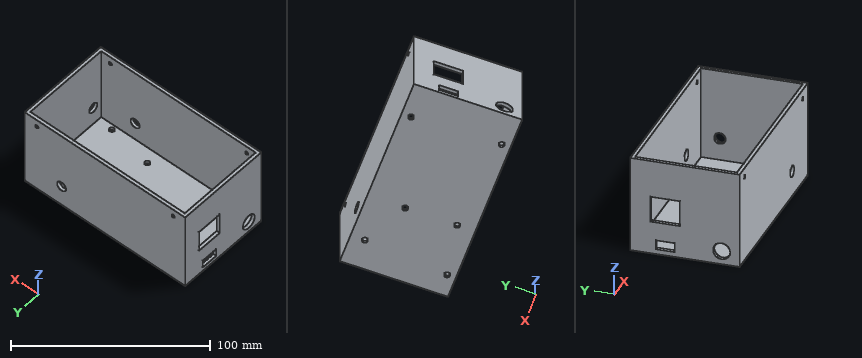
import cadquery as cq

LENGTH = 107.0
WIDTH = 58.0
HEIGHT = 52.0
WALL = 2.0

FLOOR_HOLE_DIAMETER = 3.0
BOARD_HOLES = [(16.8, 4.8), (18.1, 52.9), (91.4, 50.3), (95.4, 4.8)]
BRACKET_HOLE_X = 67.4
BRACKET_HOLES = [(BRACKET_HOLE_X, y) for y in (9.8, 37.7)]

LID_HOLE_DIAMETER = 2.0
LID_HOLE_INSET = 8.0
LID_HOLE_DROP = 5.0

CABLE_HOLE_DIAMETER = 6.0
CABLE_HOLE_Z = 14.0
SIDE_CABLE_HOLE_X = 82.4
END_CABLE_HOLE_YS = (8.0, 46.0)

POWER_JACK_DIAMETER = 9.0
POWER_JACK_Y = 9.5
POWER_JACK_Z = 7.4
LARGE_PORT_Y, LARGE_PORT_Z = 31.6, 17.9
LARGE_PORT_WIDTH, LARGE_PORT_HEIGHT = 15.8, 14.0
SMALL_PORT_Y, SMALL_PORT_Z = 34.3, 2.8
SMALL_PORT_WIDTH, SMALL_PORT_HEIGHT = 10.2, 5.0


def round_cutter(diameter, depth, start, direction):
    return cq.Workplane(cq.Solid.makeCylinder(diameter / 2, depth, cq.Vector(*start), cq.Vector(*direction)))


def floor_hole(x, y):
    return round_cutter(FLOOR_HOLE_DIAMETER, WALL, (x, y, 0), (0, 0, 1))


def side_hole(diameter, x, z):
    """Cutter that pierces both long walls."""
    return round_cutter(diameter, WIDTH, (x, 0, z), (0, 1, 0))


def end_hole(diameter, wall_x, y, z):
    """Cutter through the end wall whose lower X face is at wall_x."""
    return round_cutter(diameter, WALL, (wall_x, y, z), (1, 0, 0))


def port(y, z, width, height):
    """Rectangular cutter through the end wall at X = 0, from its lower corner."""
    return cq.Workplane().box(WALL, width, height, centered=False).translate((0, y, z))


result = cq.Workplane().box(LENGTH, WIDTH, HEIGHT, centered=False)
cavity = cq.Workplane().box(LENGTH - 2 * WALL, WIDTH - 2 * WALL, HEIGHT - WALL, centered=False)
result = result.cut(cavity.translate((WALL, WALL, WALL)))

for hole_x, hole_y in BOARD_HOLES + BRACKET_HOLES:
    result = result.cut(floor_hole(hole_x, hole_y))

for lid_hole_x in (LID_HOLE_INSET, LENGTH - LID_HOLE_INSET):
    result = result.cut(side_hole(LID_HOLE_DIAMETER, lid_hole_x, HEIGHT - LID_HOLE_DROP))
result = result.cut(side_hole(CABLE_HOLE_DIAMETER, SIDE_CABLE_HOLE_X, CABLE_HOLE_Z))

for cable_y in END_CABLE_HOLE_YS:
    result = result.cut(end_hole(CABLE_HOLE_DIAMETER, LENGTH - WALL, cable_y, CABLE_HOLE_Z))
result = result.cut(end_hole(POWER_JACK_DIAMETER, 0, POWER_JACK_Y, POWER_JACK_Z))
result = result.cut(port(LARGE_PORT_Y, LARGE_PORT_Z, LARGE_PORT_WIDTH, LARGE_PORT_HEIGHT))
result = result.cut(port(SMALL_PORT_Y, SMALL_PORT_Z, SMALL_PORT_WIDTH, SMALL_PORT_HEIGHT))